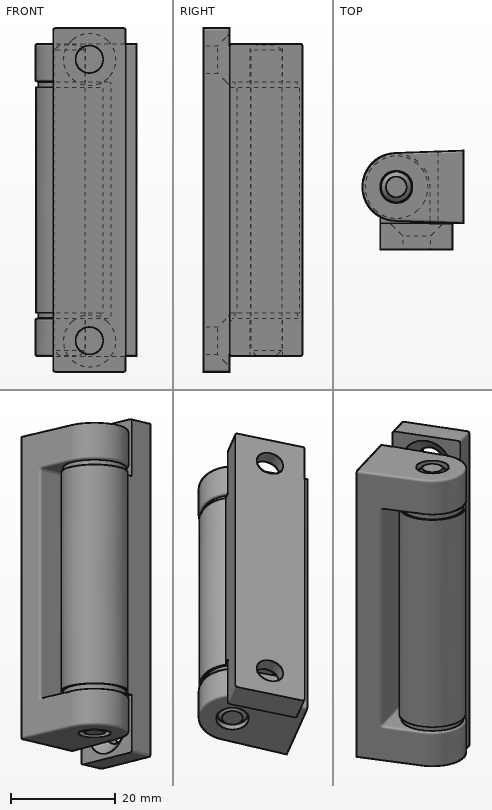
import cadquery as cq
import math


plate_height = 66.0
plate_width = 13.9
plate_thickness = 5.0
plate_left = -3.1
plate_corner_radius = 0.5
barrel_diameter = 12.8
barrel_height = 43.3

screw_diameter = 5.3
screw_end_distance = 6.0
countersink_depth = 2.4

bracket_height = 59.9
ear_radius = 6.55
bracket_back = 12.95
bracket_back_half_width = 7.0
web_front = 7.9
bracket_fillet = 0.45
ear_bore_diameter = 6.2

washer_thickness = 1.0
washer_diameter = 12.0
washer_clearance = 0.05
running_bore_diameter = 6.0

pin_diameter = 5.95
pin_end_chamfer = 1.0
pin_recess = 0.2

barrel_radius = barrel_diameter / 2
plate_back = -bracket_back_half_width
screw_x = plate_left + plate_width / 2
screw_z = plate_height / 2 - screw_end_distance
gap_height = barrel_height + 2 * (washer_thickness + washer_clearance)
pin_height = bracket_height - 2 * pin_recess


def axis_cylinder(diameter, height):
    """Cylinder on the hinge axis, centred at mid height."""
    return cq.Workplane("XY").circle(diameter / 2).extrude(height / 2, both=True)


def make_screw_hole(z):
    """Cutter for one screw hole, with a cone that opens toward the barrel side."""
    shank_radius = screw_diameter / 2
    head_radius = shank_radius + countersink_depth
    front = -plate_thickness
    return (
        cq.Workplane("XY", origin=(screw_x, plate_back, z))
        .polyline(
            [
                (0, front),
                (shank_radius, front),
                (shank_radius, -countersink_depth),
                (head_radius, 0),
                (0, 0),
            ]
        )
        .close()
        .revolve(360, (0, 0, 0), (0, 1, 0))
    )


def make_leaf():
    """Plate, barrel and the neck between them, with the pin bore and the screw holes."""
    plate = (
        cq.Workplane("XY")
        .box(plate_width, plate_thickness, plate_height, centered=(False, False, True))
        .translate((plate_left, plate_back - plate_thickness, 0))
        .edges("|Y")
        .fillet(plate_corner_radius)
    )
    neck = (
        cq.Workplane("XY")
        .box(barrel_radius - plate_left, -plate_back, barrel_height, centered=(False, False, True))
        .translate((plate_left, plate_back, 0))
    )
    barrel = axis_cylinder(barrel_diameter, barrel_height)
    bore = axis_cylinder(running_bore_diameter, barrel_height)
    leaf = plate.union(neck).union(barrel).cut(bore)
    for z in (-screw_z, screw_z):
        leaf = leaf.cut(make_screw_hole(z))
    return leaf


def make_bracket():
    """Tapered block with a rounded end, notched between the ears and bored for the pin."""
    tangent_angle = math.atan2(bracket_back_half_width, bracket_back) + math.acos(
        ear_radius / math.hypot(bracket_back, bracket_back_half_width)
    )
    tangent_x = ear_radius * math.cos(tangent_angle)
    tangent_y = ear_radius * math.sin(tangent_angle)
    block = (
        cq.Workplane("XY", origin=(0, 0, -bracket_height / 2))
        .moveTo(bracket_back, -bracket_back_half_width)
        .lineTo(bracket_back, bracket_back_half_width)
        .lineTo(tangent_x, tangent_y)
        .threePointArc((-ear_radius, 0), (tangent_x, -tangent_y))
        .close()
        .extrude(bracket_height)
    )
    notch = (
        cq.Workplane("XY")
        .box(web_front + ear_radius, 2 * bracket_back_half_width, gap_height, centered=(False, True, True))
        .translate((-ear_radius, 0, 0))
        .edges("|Y and >X")
        .fillet(bracket_fillet)
    )
    body = block.cut(notch)
    ear_rims = body.edges("not (|Y or |Z)")
    web_box = cq.selectors.BoxSelector(
        (0, -bracket_back_half_width, -gap_height / 2),
        (bracket_back - bracket_fillet, bracket_back_half_width, gap_height / 2),
    )
    web_rims = body.edges("|Z").edges(web_box)
    body = ear_rims.add(web_rims).fillet(bracket_fillet)
    return body.cut(axis_cylinder(ear_bore_diameter, bracket_height))


def make_washer(side):
    """Ring on the barrel end that lies on the given side: 1 for the top, -1 for the bottom."""
    return (
        cq.Workplane("XY", origin=(0, 0, side * barrel_height / 2))
        .circle(washer_diameter / 2)
        .circle(running_bore_diameter / 2)
        .extrude(side * washer_thickness)
    )


def make_pin():
    """Pin through all the knuckles, with chamfered ends just below the ear faces."""
    return axis_cylinder(pin_diameter, pin_height).edges().chamfer(pin_end_chamfer)


leaf = make_leaf()
bracket = make_bracket()
pin = make_pin()
washers = [make_washer(side).val() for side in (1, -1)]

result = cq.Compound.makeCompound([leaf.val(), bracket.val(), pin.val(), *washers])